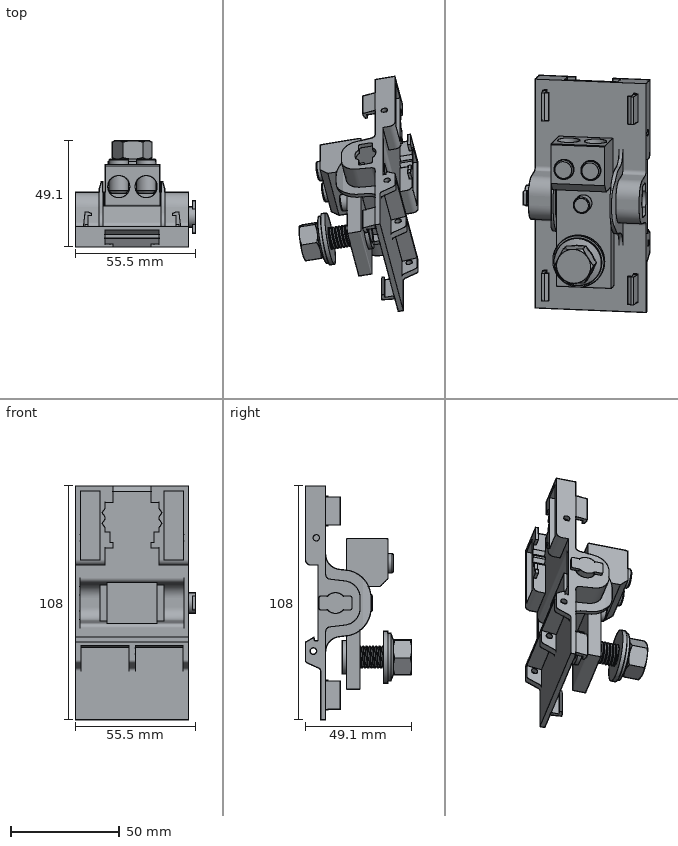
import cadquery as cq
import math

HOUSING_WIDTH = 52.2
HOUSING_HEIGHT = 107.95
PLATE_BACK = 9.4
PLATE_FRONT = 5.75
APRON_FRONT = 7.0
HALF_WIDTH = HOUSING_WIDTH / 2

BLOCK_BOTTOM = 71.35
BLOCK_EDGE_RADIUS = 2.6
CHANNEL_HALF = 12.5
LIP_THICKNESS = 1.35
LIP_HALF = 8.8
LIP_STEP_HALF = 10.15
UPPER_LIP_BOTTOM = 100.35
LOWER_LIP_TOP = 86.75
LOWER_LIP_STEP = 81.75
LOWER_LIP_BOTTOM = 79.4
NOTCH_CENTRES = (95.6, 90.65)
NOTCH_DEPTH = 1.35
NOTCH_HALF_HEIGHT = 1.9
TOP_BEVEL_HEIGHT = 2.6
TOP_BEVEL_DEPTH = 2.0
CELL_X = (14.8, 23.8)
CELL_Z = (73.7, 105.6)
CELL_FLOOR = 7.6
SIDE_HOLE_DIAMETER = 2.9
SIDE_HOLE_Y = 5.05
SIDE_HOLE_Z = 84.0

LATCH_LEDGE = 36.5
LATCH_TIP_Y = 4.0
LATCH_TIP = 38.15
LATCH_UNDERCUT = 0.25
LATCH_FRONT_TOP = 35.8
LATCH_FRONT_BOTTOM = 26.6
LATCH_FOOT = 23.4
LATCH_FOOT_RADIUS = 1.5
LATCH_ROOF_FRONT = 34.2
LATCH_ROOF_BACK = 33.3
LATCH_END_RIB = 2.65
LATCH_MIDDLE_RIB = 3.0
LATCH_HOLE_Y = 3.7
LATCH_HOLE_Z = 31.7

HUMP_Z = 53.9
DRAFT = math.radians(6.7)
ARC_CENTRE_Y = 17.35
ARC_CENTRE_HALF = 2.3
HUMP_BACK = 25.3
HUMP_COVE_RADIUS = 2.1
HOLLOW_WALL = 2.0
HOLLOW_HALF_X = HALF_WIDTH - HOLLOW_WALL
HOLLOW_BACK = HUMP_BACK - HOLLOW_WALL
HOLLOW_RIM_RADIUS = 2.1
CORE_HALF_X = 11.45
CORE_FRONT = 7.9
CORE_STEP_HALF_X = 14.8
CORE_STEP_FRONT = 17.0

FIN_INNER = 13.4
FIN_THICKNESS = 1.8
FIN_BACK = 30.35
FIN_COVE_RADIUS = 7.0
FIN_BEVEL_Y = 26.75
FIN_TIP_THICKNESS = 0.75

COUPLING_Y = 13.9
COUPLING_DIAMETER = 9.6
COUPLING_CLEARANCE = 0.15
KEY_LENGTH = 15.1
KEY_WIDTH = 6.4
KEY_THICKNESS = 1.5
COUPLING_LENGTH = 3.25
KEY_CORNER_RADIUS = 0.8

HOOK_HEIGHT = 13.1
HOOK_CENTRES = (96.4, 11.4)
HOOK_OUTER = 21.65
HOOK_INNER = 20.4
HOOK_NOSE = 18.65
HOOK_BACK = 16.2
HOOK_NOSE_BACK = 15.5
HOOK_NOSE_FRONT = 14.5
HOOK_ROOT_OUTER = 22.45
HOOK_FOOT_FLARE = 0.3
HOOK_FOOT_BACK = 10.4

BAR_FRONT = 18.9
BAR_WIDTH = 25.7
BAR_BOTTOM = 14.0
BAR_EDGE_RADIUS = 0.5
TERMINAL_BOTTOM = 61.5
TERMINAL_TOP = 83.75
TERMINAL_BACK = 38.2
TERMINAL_WIDTH = 25.3
TERMINAL_X = (BAR_WIDTH - TERMINAL_WIDTH) / 2
TERMINAL_BEVEL = 3.7
TERMINAL_EDGE_RADIUS = 0.8
TERMINAL_BACK_BEVEL = (0.8, 0.3)
WIRE_HOLE_DIAMETER = 10.2
WIRE_HOLE_SPACING = 12.65
WIRE_HOLE_Y = 27.9
WIRE_HOLE_DEPTH = 20.0
CLAMP_SCREW_X = [TERMINAL_X + side * WIRE_HOLE_SPACING / 2 for side in (-1, 1)]

CLAMP_SCREW_DIAMETER = 9.1
CLAMP_SCREW_Z = 72.3
CLAMP_SCREW_BACK = 40.7
CLAMP_SCREW_FRONT = 24.6
CLAMP_SCREW_TIP_CHAMFER = 1.4
CLAMP_SCREW_HEAD_CHAMFER = 0.6

FIXING_HEAD_DIAMETER = 7.7
FIXING_HEAD_BACK = 31.0
FIXING_HEAD_CHAMFER = 0.5
FIXING_SHANK_DIAMETER = 4.0
FIXING_FRONT = 12.0

BOLT_Z = 28.9
BOLT_DIAMETER = 10.2
BOLT_TIP = 17.0
HEX_ACROSS_FLATS = 16.0
HEX_TURN = 2.8
HEX_CHAMFER_ANGLE = 30
HEAD_FRONT = 40.6
HEAD_BACK = 49.1
THREAD_PITCH = 1.5
THREAD_DEPTH = 0.7
THREAD_GROOVE_WIDTH = 1.38
FLAT_WASHER_FRONT = 36.0
FLAT_WASHER_DIAMETER = 24.1
CUP_WASHER_FRONT = 38.05
CUP_WASHER_RIM = 39.5
CUP_WASHER_DIAMETER = 22.2
CUP_WASHER_TOP_DIAMETER = 16.4
NUT_DIAMETER = 15.6


def block(x_range, y_range, z_range):
    """Box between pairs of X, Y and Z limits."""
    (x0, x1), (y0, y1), (z0, z1) = x_range, y_range, z_range
    return cq.Workplane("XY").box(x1 - x0, y1 - y0, z1 - z0, centered=False).translate((x0, y0, z0))


def side_plane(x):
    """Sketch plane facing +X, with Y and Z as its axes."""
    return cq.Workplane("YZ", origin=(x, 0, 0))


def rod_y(x, z, diameter, y0, y1):
    """Cylinder along Y."""
    plane = cq.Plane(origin=(x, y0, z), xDir=(-1, 0, 0), normal=(0, 1, 0))
    return cq.Workplane(plane).circle(diameter / 2).extrude(y1 - y0)


def rod_x(y, z, diameter, x0, x1):
    """Cylinder along X."""
    return side_plane(x0).center(y, z).circle(diameter / 2).extrude(x1 - x0)


def both_sides(right_half):
    """Shape at +X together with its mirror image at -X."""
    return right_half.union(right_half.mirror("YZ"))


def plate_and_latch():
    """Upper block, middle plate, latch bar and lower apron as one side profile."""
    body = (
        side_plane(-HALF_WIDTH)
        .moveTo(PLATE_BACK, 0)
        .lineTo(PLATE_BACK, HOUSING_HEIGHT)
        .lineTo(0, HOUSING_HEIGHT)
        .lineTo(0, BLOCK_BOTTOM + BLOCK_EDGE_RADIUS)
        .radiusArc((BLOCK_EDGE_RADIUS, BLOCK_BOTTOM), -BLOCK_EDGE_RADIUS)
        .lineTo(PLATE_FRONT, BLOCK_BOTTOM)
        .lineTo(PLATE_FRONT, LATCH_LEDGE)
        .lineTo(LATCH_TIP_Y + LATCH_UNDERCUT, LATCH_LEDGE)
        .lineTo(LATCH_TIP_Y, LATCH_TIP)
        .lineTo(0, LATCH_FRONT_TOP)
        .lineTo(0, LATCH_FRONT_BOTTOM)
        .lineTo(APRON_FRONT, LATCH_FOOT)
        .lineTo(APRON_FRONT, 0)
        .close()
        .extrude(HOUSING_WIDTH)
    )
    foot_edges = cq.selectors.BoxSelector(
        (-HALF_WIDTH, -1, LATCH_FOOT - 1), (HALF_WIDTH, APRON_FRONT + 1, LATCH_FRONT_BOTTOM + 1)
    )
    return body.edges("|X").edges(foot_edges).fillet(LATCH_FOOT_RADIUS)


def latch_pockets():
    """Two pockets under the latch bar, leaving an end rib at each side and one in the middle."""
    inner = LATCH_MIDDLE_RIB / 2
    pocket = (
        side_plane(inner)
        .moveTo(0, LATCH_ROOF_FRONT)
        .lineTo(APRON_FRONT, LATCH_ROOF_BACK)
        .lineTo(APRON_FRONT, 0)
        .lineTo(0, 0)
        .close()
        .extrude(HALF_WIDTH - LATCH_END_RIB - inner)
    )
    return both_sides(pocket)


def rail_channel():
    """Channel with V-notched walls; the lips in front of it are left standing."""
    channel = block((0, CHANNEL_HALF), (0, PLATE_FRONT), (BLOCK_BOTTOM, HOUSING_HEIGHT))
    for z in NOTCH_CENTRES:
        notch = (
            cq.Workplane("XZ")
            .moveTo(CHANNEL_HALF, z - NOTCH_HALF_HEIGHT)
            .lineTo(CHANNEL_HALF + NOTCH_DEPTH, z)
            .lineTo(CHANNEL_HALF, z + NOTCH_HALF_HEIGHT)
            .close()
            .extrude(-PLATE_FRONT)
        )
        channel = channel.union(notch)
    lip_y = (0, LIP_THICKNESS)
    upper_lip = block((LIP_HALF, CHANNEL_HALF), lip_y, (UPPER_LIP_BOTTOM, HOUSING_HEIGHT))
    lower_lip = block((LIP_HALF, CHANNEL_HALF), lip_y, (LOWER_LIP_BOTTOM, LOWER_LIP_STEP))
    lip_step = block((LIP_STEP_HALF, CHANNEL_HALF), lip_y, (LOWER_LIP_STEP, LOWER_LIP_TOP))
    return both_sides(channel.cut(upper_lip).cut(lower_lip).cut(lip_step))


def channel_entry_bevel():
    """Sloping lead-in at the top of the channel floor."""
    return (
        side_plane(-CHANNEL_HALF)
        .moveTo(PLATE_FRONT, HOUSING_HEIGHT - TOP_BEVEL_HEIGHT)
        .lineTo(PLATE_FRONT + TOP_BEVEL_DEPTH, HOUSING_HEIGHT)
        .lineTo(PLATE_FRONT, HOUSING_HEIGHT)
        .close()
        .extrude(2 * CHANNEL_HALF)
    )


def block_cells():
    """Hollow in each upper block, with a small hole through its outer wall."""
    cell = block(CELL_X, (0, CELL_FLOOR), CELL_Z)
    hole = rod_x(SIDE_HOLE_Y, SIDE_HOLE_Z, SIDE_HOLE_DIAMETER, CELL_X[1], HALF_WIDTH)
    return both_sides(cell.union(hole))


def shoulder(back):
    """Y and half height where the arc reaching back to the given Y meets the sloping side."""
    radius = back - ARC_CENTRE_Y
    return ARC_CENTRE_Y + radius * math.sin(DRAFT), ARC_CENTRE_HALF + radius * math.cos(DRAFT)


def base_half(back, base_y, curve_radius):
    """Half height of the base, where a curve of the given radius turns the sloping side outwards."""
    shoulder_y, shoulder_half = shoulder(back)
    curve_y = base_y + curve_radius * (1 - math.sin(DRAFT))
    side_half = shoulder_half + (shoulder_y - curve_y) * math.tan(DRAFT)
    return side_half + curve_radius * math.cos(DRAFT)


def rounded_profile(x, depth, back, base_y, curve_radius):
    """Arch extruded along X: a curved base each side, sloping sides and a rounded back."""
    shoulder_y, shoulder_half = shoulder(back)
    arc_radius = back - ARC_CENTRE_Y
    base = base_half(back, base_y, curve_radius)
    side = base - curve_radius * math.cos(DRAFT)
    side_y = base_y + curve_radius * (1 - math.sin(DRAFT))
    return (
        side_plane(x)
        .moveTo(base_y, HUMP_Z + base)
        .radiusArc((side_y, HUMP_Z + side), -curve_radius)
        .lineTo(shoulder_y, HUMP_Z + shoulder_half)
        .radiusArc((back, HUMP_Z + ARC_CENTRE_HALF), arc_radius)
        .lineTo(back, HUMP_Z - ARC_CENTRE_HALF)
        .radiusArc((shoulder_y, HUMP_Z - shoulder_half), arc_radius)
        .lineTo(side_y, HUMP_Z - side)
        .radiusArc((base_y, HUMP_Z - base), -curve_radius)
        .close()
        .extrude(depth)
    )


def hump():
    """Rounded hump across the back, with coves into the plate."""
    return rounded_profile(-HALF_WIDTH, HOUSING_WIDTH, HUMP_BACK, PLATE_BACK, HUMP_COVE_RADIUS)


def hollow():
    """Hollow inside the hump, with a rounded rim at its mouth."""
    width = 2 * HOLLOW_HALF_X
    return rounded_profile(-HOLLOW_HALF_X, width, HOLLOW_BACK, PLATE_FRONT, HOLLOW_RIM_RADIUS)


def core():
    """Stepped region that stays solid in the middle of the hollow."""
    half_height = base_half(HOLLOW_BACK, PLATE_FRONT, HOLLOW_RIM_RADIUS)
    z_range = (HUMP_Z - half_height, HUMP_Z + half_height)
    narrow = block((-CORE_HALF_X, CORE_HALF_X), (CORE_FRONT, HOLLOW_BACK), z_range)
    wide = block((-CORE_STEP_HALF_X, CORE_STEP_HALF_X), (CORE_STEP_FRONT, HOLLOW_BACK), z_range)
    return narrow.union(wide)


def fins():
    """Rounded fin each side of the conductor, bevelled on the outside towards its tip."""
    outer = FIN_INNER + FIN_THICKNESS
    half_height = base_half(FIN_BACK, PLATE_BACK, FIN_COVE_RADIUS)
    fin = rounded_profile(FIN_INNER, FIN_THICKNESS, FIN_BACK, PLATE_BACK, FIN_COVE_RADIUS)
    bevel = (
        cq.Workplane("XY", origin=(0, 0, HUMP_Z - half_height))
        .moveTo(outer, FIN_BEVEL_Y)
        .lineTo(FIN_INNER + FIN_TIP_THICKNESS, FIN_BACK)
        .lineTo(outer, FIN_BACK)
        .close()
        .extrude(2 * half_height)
    )
    return both_sides(fin.cut(bevel))


def coupling_socket():
    """Keyhole through the -X wall: a round hole crossed by an upright slot."""
    diameter = COUPLING_DIAMETER + 2 * COUPLING_CLEARANCE
    round_hole = rod_x(COUPLING_Y, HUMP_Z, diameter, -HALF_WIDTH, -HOLLOW_HALF_X)
    slot = (
        side_plane(-HALF_WIDTH)
        .center(COUPLING_Y, HUMP_Z)
        .rect(KEY_WIDTH, KEY_LENGTH)
        .extrude(HOLLOW_WALL)
        .edges("|X")
        .fillet(KEY_CORNER_RADIUS)
    )
    return round_hole.union(slot)


def coupling_pin():
    """Round pin on the +X wall with a key across its end, a quarter turn from the socket slot."""
    end = HALF_WIDTH + COUPLING_LENGTH
    pin = rod_x(COUPLING_Y, HUMP_Z, COUPLING_DIAMETER, HALF_WIDTH, end)
    key = (
        side_plane(end - KEY_THICKNESS)
        .center(COUPLING_Y, HUMP_Z)
        .rect(KEY_LENGTH, KEY_WIDTH)
        .extrude(KEY_THICKNESS)
        .edges("|X")
        .fillet(KEY_CORNER_RADIUS)
    )
    return pin.union(key)


def snap_hooks():
    """Hook near each corner of the back, with the nose pointing inwards."""
    hooks = cq.Workplane("XY")
    for centre in HOOK_CENTRES:
        bottom = centre - HOOK_HEIGHT / 2
        hook = (
            cq.Workplane("XY", origin=(0, 0, bottom))
            .moveTo(HOOK_ROOT_OUTER, PLATE_BACK)
            .lineTo(HOOK_OUTER, HOOK_BACK)
            .lineTo(HOOK_INNER, HOOK_BACK)
            .lineTo(HOOK_NOSE, HOOK_NOSE_BACK)
            .lineTo(HOOK_NOSE, HOOK_NOSE_FRONT)
            .lineTo(HOOK_INNER, HOOK_NOSE_FRONT)
            .lineTo(HOOK_INNER, PLATE_BACK)
            .close()
            .extrude(HOOK_HEIGHT)
        )
        foot = block(
            (HOOK_INNER, HOOK_OUTER),
            (PLATE_BACK, HOOK_FOOT_BACK),
            (bottom - HOOK_FOOT_FLARE, bottom + HOOK_HEIGHT + HOOK_FOOT_FLARE),
        )
        hooks = hooks.add(both_sides(hook.union(foot)))
    return hooks.combine()


def make_housing():
    body = plate_and_latch().cut(latch_pockets()).cut(rail_channel())
    body = body.cut(channel_entry_bevel()).cut(block_cells())
    body = body.cut(rod_x(LATCH_HOLE_Y, LATCH_HOLE_Z, SIDE_HOLE_DIAMETER, -HALF_WIDTH, HALF_WIDTH))
    body = body.union(hump()).union(fins())
    body = body.cut(hollow().cut(core()))
    body = body.cut(coupling_socket()).union(coupling_pin()).union(snap_hooks())
    bar_slot = block((-BAR_WIDTH / 2, BAR_WIDTH / 2), (BAR_FRONT, FIN_BACK), (0, HOUSING_HEIGHT))
    screw_hole = rod_y(0, HUMP_Z, FIXING_SHANK_DIAMETER, FIXING_FRONT, BAR_FRONT)
    return body.cut(bar_slot).cut(screw_hole)


def make_bar():
    """Flat bar lying in the slot of the hump, ending against the terminal block."""
    bar = block((-BAR_WIDTH / 2, BAR_WIDTH / 2), (BAR_FRONT, HUMP_BACK), (BAR_BOTTOM, TERMINAL_BOTTOM))
    bar = bar.edges("|X and <Z").fillet(BAR_EDGE_RADIUS)
    bar = bar.cut(rod_y(0, HUMP_Z, FIXING_SHANK_DIAMETER, BAR_FRONT, HUMP_BACK))
    return bar.cut(rod_y(0, BOLT_Z, BOLT_DIAMETER, BAR_FRONT, HUMP_BACK))


def make_terminal():
    """Block with two blind wire holes from above, each crossed by a clamp screw from the back."""
    x_range = (TERMINAL_X - TERMINAL_WIDTH / 2, TERMINAL_X + TERMINAL_WIDTH / 2)
    terminal = block(x_range, (BAR_FRONT, TERMINAL_BACK), (TERMINAL_BOTTOM, TERMINAL_TOP))
    terminal = terminal.edges("|X and >Y and <Z").chamfer(TERMINAL_BEVEL)
    terminal = terminal.edges("|X and <Y and >Z").fillet(TERMINAL_EDGE_RADIUS)
    terminal = terminal.faces(">Z").edges(">Y").chamfer(*TERMINAL_BACK_BEVEL)
    for x in CLAMP_SCREW_X:
        wire_hole = (
            cq.Workplane("XY", origin=(x, WIRE_HOLE_Y, TERMINAL_TOP))
            .circle(WIRE_HOLE_DIAMETER / 2)
            .extrude(-WIRE_HOLE_DEPTH)
        )
        screw_hole = rod_y(x, CLAMP_SCREW_Z, CLAMP_SCREW_DIAMETER, WIRE_HOLE_Y, TERMINAL_BACK)
        terminal = terminal.cut(wire_hole).cut(screw_hole)
    return terminal


def make_clamp_screw(x):
    """Plain set screw with a tapered tip reaching into a wire hole."""
    screw = rod_y(x, CLAMP_SCREW_Z, CLAMP_SCREW_DIAMETER, CLAMP_SCREW_FRONT, CLAMP_SCREW_BACK)
    screw = screw.faces("<Y").chamfer(CLAMP_SCREW_TIP_CHAMFER)
    return screw.faces(">Y").chamfer(CLAMP_SCREW_HEAD_CHAMFER)


def make_fixing_screw():
    head = rod_y(0, HUMP_Z, FIXING_HEAD_DIAMETER, HUMP_BACK, FIXING_HEAD_BACK)
    head = head.faces(">Y").chamfer(FIXING_HEAD_CHAMFER)
    return head.union(rod_y(0, HUMP_Z, FIXING_SHANK_DIAMETER, FIXING_FRONT, HUMP_BACK))


def bolt_head():
    """Turned hexagon with both ends chamfered to a cone."""
    corner_radius = HEX_ACROSS_FLATS / 2 / math.cos(math.pi / 6)
    flat_radius = HEX_ACROSS_FLATS / 2
    taper = (corner_radius - flat_radius) * math.tan(math.radians(HEX_CHAMFER_ANGLE))
    length = HEAD_BACK - HEAD_FRONT
    hexagon = (
        cq.Workplane("XY")
        .polygon(6, 2 * corner_radius)
        .extrude(length)
        .rotate((0, 0, 0), (0, 0, 1), HEX_TURN)
    )
    envelope = (
        cq.Workplane("XZ")
        .lineTo(flat_radius, 0)
        .lineTo(corner_radius, taper)
        .lineTo(corner_radius, length - taper)
        .lineTo(flat_radius, length)
        .lineTo(0, length)
        .close()
        .revolve(360, (0, 0), (0, 1))
    )
    head = hexagon.intersect(envelope)
    return head.rotate((0, 0, 0), (1, 0, 0), -90).translate((0, HEAD_FRONT, BOLT_Z))


def thread_groove():
    """Helical V groove running along the shank from the bar into the washers."""
    radius = BOLT_DIAMETER / 2
    half_width = THREAD_GROOVE_WIDTH / 2
    overshoot = 0.1
    length = CUP_WASHER_FRONT - BAR_FRONT
    path = cq.Workplane(obj=cq.Wire.makeHelix(THREAD_PITCH, length, radius))
    groove = (
        cq.Workplane("XZ")
        .moveTo(radius + overshoot, -half_width)
        .lineTo(radius - THREAD_DEPTH, 0)
        .lineTo(radius + overshoot, half_width)
        .close()
        .sweep(path, isFrenet=True)
    )
    return groove.rotate((0, 0, 0), (1, 0, 0), -90).translate((0, BAR_FRONT, BOLT_Z))


def make_bolt():
    shank = rod_y(0, BOLT_Z, BOLT_DIAMETER, BOLT_TIP, HEAD_FRONT).cut(thread_groove())
    return shank.union(bolt_head())


def make_flat_washer():
    disc = rod_y(0, BOLT_Z, FLAT_WASHER_DIAMETER, FLAT_WASHER_FRONT, CUP_WASHER_FRONT)
    return disc.cut(rod_y(0, BOLT_Z, BOLT_DIAMETER, FLAT_WASHER_FRONT, CUP_WASHER_FRONT))


def make_cup_washer():
    """Washer whose rim tapers towards the bolt head."""
    disc = rod_y(0, BOLT_Z, CUP_WASHER_DIAMETER, CUP_WASHER_FRONT, HEAD_FRONT)
    taper_width = (CUP_WASHER_DIAMETER - CUP_WASHER_TOP_DIAMETER) / 2
    disc = disc.faces(">Y").edges().chamfer(HEAD_FRONT - CUP_WASHER_RIM, taper_width)
    return disc.cut(rod_y(0, BOLT_Z, BOLT_DIAMETER, CUP_WASHER_FRONT, HEAD_FRONT))


def make_nut():
    disc = rod_y(0, BOLT_Z, NUT_DIAMETER, BOLT_TIP, BAR_FRONT)
    return disc.cut(rod_y(0, BOLT_Z, BOLT_DIAMETER, BOLT_TIP, BAR_FRONT))


housing = make_housing()
bar = make_bar()
terminal = make_terminal()
clamp_screws = [make_clamp_screw(x) for x in CLAMP_SCREW_X]
fixing_screw = make_fixing_screw()
bolt = make_bolt()
flat_washer = make_flat_washer()
cup_washer = make_cup_washer()
nut = make_nut()

bodies = [housing, bar, terminal, *clamp_screws, fixing_screw, bolt, flat_washer, cup_washer, nut]
result = cq.Compound.makeCompound([body.solids().val() for body in bodies])